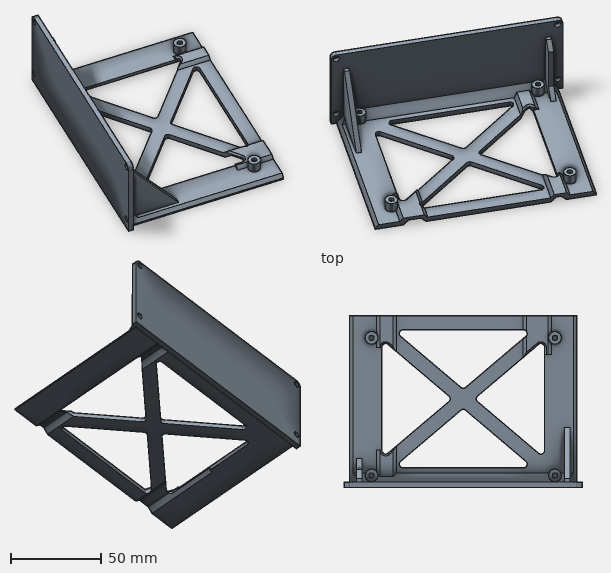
import cadquery as cq
import math

panel_width = 132.0
panel_height = 50.0
panel_thickness = 3.0
panel_corner_radius = 3.0
panel_hole_diameter = 3.5
panel_hole_inset = 3.0
panel_hole_low_z = 7.0

total_depth = 95.3
plate_thickness = 3.0
plate_half_width = panel_width / 2 - panel_corner_radius
tray_front_y = panel_thickness
tray_rear_y = total_depth
tray_depth = tray_rear_y - tray_front_y
side_bevel = 2.0

corner_strip_size = 5.0

opening_half_width = 45.0
opening_end_margin = 8.0
opening_half_depth = tray_depth / 2 - opening_end_margin
opening_center_y = (tray_front_y + tray_rear_y) / 2
bar_width = 8.0
opening_corner_radius = 2.0

strap_rise = 2.0
strap_edge_chamfer = 1.0
strap_edge_angle = 45.0
left_strap_x = (-48.0, -37.0)
right_strap_x = (33.0, 49.0)
left_strap_length = 17.7
right_strap_length = 21.6
channel_depth = 3.0
left_channel_x = (-46.0, -37.0)
right_channel_x = (34.0, 47.0)

standoff_diameter = 7.0
standoff_bore = 2.9
standoff_height = 6.0
standoff_pitch_x = 101.6
standoff_pitch_y = 76.2
standoff_clearance = 0.2

gusset_thickness = 3.0
gusset_inner_x = 56.0
gusset_top_z = 39.0
gusset_top_depth = 2.0
large_gusset_depth = 30.4
small_gusset_depth = 7.0
small_gusset_top_bevel = small_gusset_depth - gusset_top_depth
small_gusset_foot = 6.0


def prism_along_y(points, y_start, y_end):
    """Extrude an (x, z) outline from y_start to y_end."""
    return cq.Workplane("XZ", origin=(0, y_start, 0)).polyline(points).close().extrude(y_start - y_end)


def prism_along_x(points, x_start, x_end):
    """Extrude a (y, z) outline from x_start to x_end."""
    return cq.Workplane("YZ", origin=(x_start, 0, 0)).polyline(points).close().extrude(x_end - x_start)


def make_panel():
    panel = (
        cq.Workplane("XY")
        .box(panel_width, panel_thickness, panel_height, centered=(True, False, False))
        .edges("|Y and >Z")
        .fillet(panel_corner_radius)
    )
    hole_x = panel_width / 2 - panel_hole_inset
    hole_z_top = panel_height - panel_hole_inset
    hole_places = [(x, z) for x in (-hole_x, hole_x) for z in (panel_hole_low_z, hole_z_top)]
    hole_centers = cq.Workplane("XZ").pushPoints(hole_places)
    return panel.cut(hole_centers.circle(panel_hole_diameter / 2).extrude(-panel_thickness))


def make_plate_with_corner_strip():
    """Plate and corner strip, both trimmed by the 45 degree bevels along the sides."""
    top_z = plate_thickness
    strip_top_z = top_z + corner_strip_size
    section = [
        (tray_front_y, 0),
        (tray_rear_y, 0),
        (tray_rear_y, top_z),
        (tray_front_y + corner_strip_size, top_z),
        (tray_front_y, strip_top_z),
    ]
    plate = prism_along_x(section, -plate_half_width, plate_half_width)
    bevel_start_z = plate_thickness - side_bevel
    top_half_width = plate_half_width - (strip_top_z - bevel_start_z)
    envelope = [
        (-plate_half_width, 0),
        (plate_half_width, 0),
        (plate_half_width, bevel_start_z),
        (top_half_width, strip_top_z),
        (-top_half_width, strip_top_z),
        (-plate_half_width, bevel_start_z),
    ]
    return plate.intersect(prism_along_y(envelope, tray_front_y, tray_rear_y))


def bevelled_band(x_low, x_high, y_start, y_end, base_z, height):
    """Trapezoidal band along Y with 45 degree sides, widest at base_z."""
    top_z = base_z + height
    outline = [
        (x_low, base_z),
        (x_high, base_z),
        (x_high - height, top_z),
        (x_low + height, top_z),
    ]
    return prism_along_y(outline, y_start, y_end)


def make_strap(x_range, end_y, length):
    """Band from one end of the tray to mid-depth, ending square beside the opening after length."""
    x_low, x_high = x_range
    y_start, y_stop = sorted((end_y, opening_center_y))
    band = bevelled_band(x_low, x_high, y_start, y_stop, plate_thickness, strap_rise)
    if x_low < 0:
        rim_x, rim_width = x_low, -opening_half_width - x_low
    else:
        rim_x, rim_width = opening_half_width, x_high - opening_half_width
    stop_y = end_y + math.copysign(length, opening_center_y - end_y)
    rim_y = min(stop_y, opening_center_y)
    rim_length = abs(opening_center_y - stop_y)
    rim_clearance = cq.Workplane("XY", origin=(rim_x, rim_y, plate_thickness)).box(
        rim_width, rim_length, strap_rise, centered=False
    )
    return band.cut(rim_clearance)


def add_straps_and_channels(tray):
    """Three straps; the left channel runs the full depth, the right one from the rear to mid-depth."""
    tray = tray.union(make_strap(left_strap_x, tray_front_y, left_strap_length))
    tray = tray.union(make_strap(left_strap_x, tray_rear_y, left_strap_length))
    tray = tray.union(make_strap(right_strap_x, tray_rear_y, right_strap_length))

    tray = tray.cut(bevelled_band(*left_channel_x, tray_front_y, tray_rear_y, 0, channel_depth))
    return tray.cut(bevelled_band(*right_channel_x, opening_center_y, tray_rear_y, 0, channel_depth))


def opening_outlines():
    """Triangles left between the rectangle and its diagonal bars: (side pair, end pair)."""
    diagonal = math.atan2(opening_half_depth, opening_half_width)
    shift_x = bar_width / 2 / math.sin(diagonal)
    shift_y = bar_width / 2 / math.cos(diagonal)
    side_triangles = []
    end_triangles = []
    for sign in (-1, 1):
        side_x = sign * opening_half_width
        side_reach = opening_half_depth - shift_y
        side_triangles.append([(sign * shift_x, 0), (side_x, side_reach), (side_x, -side_reach)])
        end_y = sign * opening_half_depth
        end_reach = opening_half_width - shift_x
        end_triangles.append([(0, sign * shift_y), (end_reach, end_y), (-end_reach, end_y)])
    return side_triangles, end_triangles


def rounded_triangle(points, z_start, height):
    triangle = cq.Workplane("XY", origin=(0, opening_center_y, z_start)).polyline(points).close()
    return triangle.extrude(height).edges("|Z").fillet(opening_corner_radius)


def flared_triangle(points):
    """Rounded triangle that flares outward over the chamfer height below the strap tops."""
    flare_z = plate_thickness + strap_rise - strap_edge_chamfer
    base = rounded_triangle(points, flare_z, strap_edge_chamfer).faces("<Z").wires().val()
    flare = cq.Workplane("XY", origin=(0, 0, flare_z)).add(base).toPending()
    return flare.extrude(strap_edge_chamfer, taper=-strap_edge_angle)


def cut_openings(tray):
    """Cut the four triangles; the two at the sides get chamfered edges where they meet the straps."""
    side_triangles, end_triangles = opening_outlines()
    for points in side_triangles + end_triangles:
        tray = tray.cut(rounded_triangle(points, 0, plate_thickness + strap_rise))
    for points in side_triangles:
        tray = tray.cut(flared_triangle(points))
    return tray


def gusset(outline, side):
    """Vertical brace on the left (side = -1) or the right (side = 1)."""
    outer_x = gusset_inner_x + gusset_thickness
    start_x, end_x = sorted((side * gusset_inner_x, side * outer_x))
    points = [(tray_front_y + depth, z) for depth, z in outline]
    return prism_along_x(points, start_x, end_x)


def add_gussets(tray):
    small_outline = [
        (0, plate_thickness),
        (small_gusset_depth + small_gusset_foot, plate_thickness),
        (small_gusset_depth, plate_thickness + small_gusset_foot),
        (small_gusset_depth, gusset_top_z - small_gusset_top_bevel),
        (gusset_top_depth, gusset_top_z),
        (0, gusset_top_z),
    ]
    large_outline = [
        (0, plate_thickness),
        (large_gusset_depth, plate_thickness),
        (gusset_top_depth, gusset_top_z),
        (0, gusset_top_z),
    ]
    return tray.union(gusset(small_outline, -1)).union(gusset(large_outline, 1))


def add_standoffs(tray):
    """Four hollow standoffs; the front pair just clears the panel."""
    front_y = tray_front_y + standoff_clearance + standoff_diameter / 2
    standoff_places = [
        (side * standoff_pitch_x / 2, y)
        for side in (-1, 1)
        for y in (front_y, front_y + standoff_pitch_y)
    ]
    standoff_plane = cq.Workplane("XY", origin=(0, 0, plate_thickness)).pushPoints(standoff_places)
    tray = tray.union(standoff_plane.circle(standoff_diameter / 2).extrude(standoff_height))
    return tray.cut(standoff_plane.circle(standoff_bore / 2).extrude(standoff_height))


def make_tray():
    tray = make_plate_with_corner_strip()
    tray = add_straps_and_channels(tray)
    tray = cut_openings(tray)
    tray = add_gussets(tray)
    return add_standoffs(tray)


panel = make_panel()
tray = make_tray()

result = cq.Compound.makeCompound([panel.val(), tray.val()])